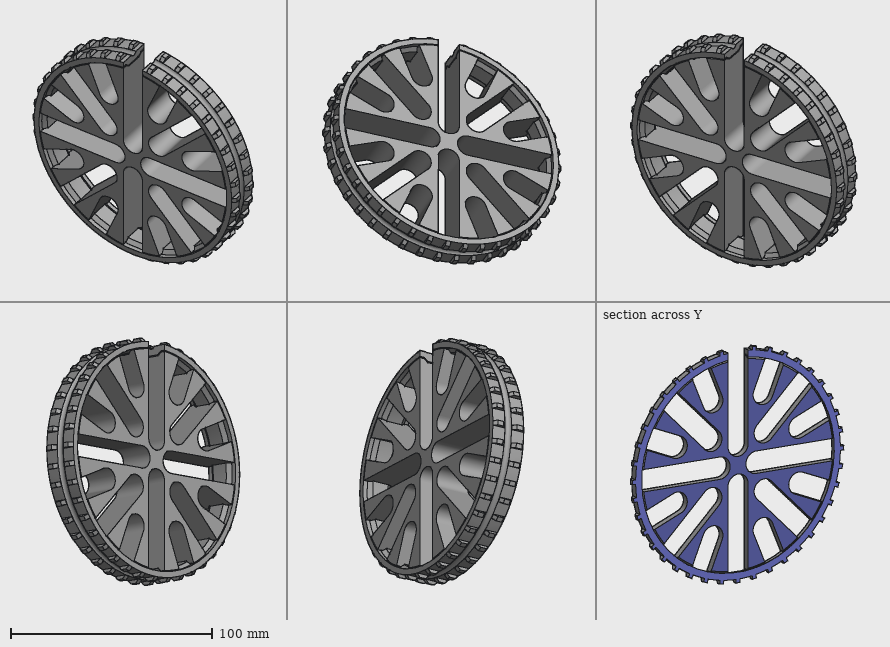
import cadquery as cq

width = 18.5
tip_radius = 60.9
tread_radius = 59.0
half_width = width / 2

groove_width = 3.9
groove_depth = 1.3
rim_radius = 56.1
rib_height = 1.7
rib_root_width = 13.6
rib_crest_width = 9.0
hub_clearance = 0.6

tooth_count = 40
tooth_thickness = 2.4
tooth_root_depth = 0.4
tooth_height = tip_radius - tread_radius
tooth_groove_gap = 0.2
tooth_pitch = 360 / tooth_count

slot_width = 11.3
main_slot_radius = 10.4
diagonal_slot_radius = 21.3
short_slot_radius = 37.9
slot_reach = tip_radius + 1.2
main_slot_count = 4
main_slot_spacing = 360 / main_slot_count
up_angle = 90


def revolve_about_wheel_axis(profile):
    """Revolve an XY profile, X being the radius and Y the wheel axis."""
    return profile.close().revolve(360, (0, 0, 0), (0, 1, 0))


def radial_slot(centre_radius, angle):
    """Cutter for a full-width slot that points along `angle`, measured from +X towards +Z."""
    length = slot_reach - centre_radius
    end = cq.Workplane("XZ").center(centre_radius, 0).circle(slot_width / 2).extrude(half_width, both=True)
    straight = cq.Workplane("XY").box(length, width, slot_width).translate((centre_radius + length / 2, 0, 0))
    return end.union(straight).rotate((0, 0, 0), (0, 1, 0), -angle)


def tooth(side):
    """Tooth at +X with 45 degree ends, in the row on one side (+1 or -1) of the groove."""
    inner = side * (groove_width / 2 + tooth_groove_gap)
    outer = side * half_width
    slope = side * tooth_height
    root_radius = tread_radius - tooth_root_depth
    return (
        cq.Workplane("XY")
        .moveTo(root_radius, inner)
        .lineTo(tread_radius, inner)
        .lineTo(tip_radius, inner + slope)
        .lineTo(tip_radius, outer - slope)
        .lineTo(tread_radius, outer)
        .lineTo(root_radius, outer)
        .close()
        .extrude(tooth_thickness / 2, both=True)
    )


def make_tyre():
    """Grooved, toothed ring with an inner rib, split open at the top."""
    tyre = revolve_about_wheel_axis(
        cq.Workplane("XY")
        .moveTo(tread_radius, -half_width)
        .lineTo(tread_radius, -groove_width / 2)
        .threePointArc((tread_radius - groove_depth, 0), (tread_radius, groove_width / 2))
        .lineTo(tread_radius, half_width)
        .lineTo(rim_radius, half_width)
        .lineTo(rim_radius, rib_root_width / 2)
        .lineTo(rim_radius - rib_height, rib_crest_width / 2)
        .lineTo(rim_radius - rib_height, -rib_crest_width / 2)
        .lineTo(rim_radius, -rib_root_width / 2)
        .lineTo(rim_radius, -half_width)
    )
    teeth = []
    for side in (-1, 1):
        row_tooth = tooth(side)
        for index in range(tooth_count):
            teeth.append(row_tooth.rotate((0, 0, 0), (0, 1, 0), index * tooth_pitch).val())
    tyre = cq.Workplane(tyre.val().fuse(*teeth))
    return tyre.cut(radial_slot(main_slot_radius, up_angle))


def make_hub():
    """Spoked disc whose edge follows the tyre's inside at a constant radial clearance."""
    hub_radius = rim_radius - hub_clearance
    hub = revolve_about_wheel_axis(
        cq.Workplane("XY")
        .moveTo(0, -half_width)
        .lineTo(hub_radius, -half_width)
        .lineTo(hub_radius, -rib_root_width / 2)
        .lineTo(hub_radius - rib_height, -rib_crest_width / 2)
        .lineTo(hub_radius - rib_height, rib_crest_width / 2)
        .lineTo(hub_radius, rib_root_width / 2)
        .lineTo(hub_radius, half_width)
        .lineTo(0, half_width)
    )
    slots = (
        (main_slot_radius, 0),
        (diagonal_slot_radius, main_slot_spacing / 2),
        (short_slot_radius, main_slot_spacing / 4),
        (short_slot_radius, main_slot_spacing * 3 / 4),
    )
    for quarter in range(main_slot_count):
        for centre_radius, angle in slots:
            hub = hub.cut(radial_slot(centre_radius, angle + quarter * main_slot_spacing))
    return hub


tyre = make_tyre()
hub = make_hub()
result = cq.Compound.makeCompound([tyre.val(), hub.val()])